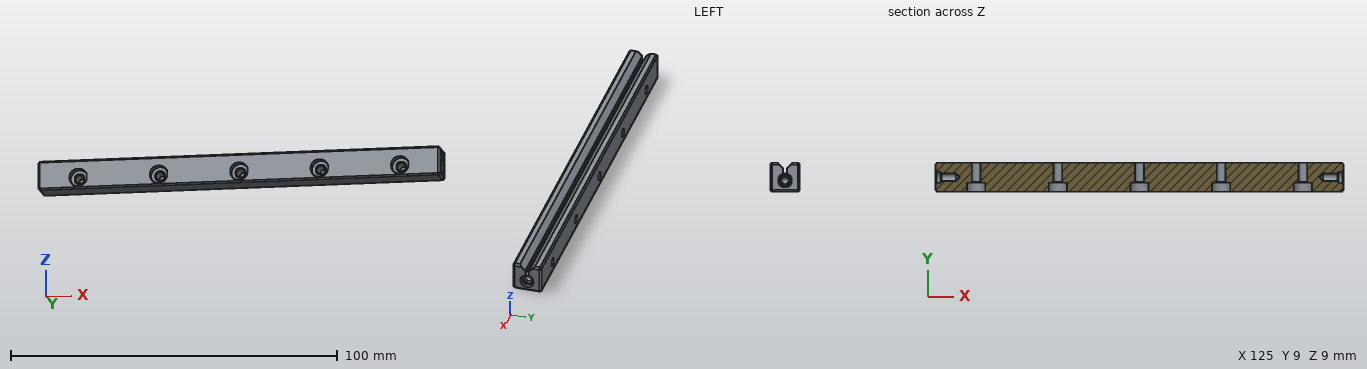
import cadquery as cq

LENGTH = 125.0
SIDE = 9.0
LONG_CHAMFER = 0.5
END_CHAMFER = 0.6

GROOVE_WIDTH = 4.8
SLOT_WIDTH = 1.1
SLOT_DEPTH = 3.2

HOLE_COUNT = 5
HOLE_PITCH = 25.0
HOLE_HEIGHT = 3.5
HOLE_DIAMETER = 2.6
MOUTH_DIAMETER = 3.2
HEAD_DIAMETER = 5.5
HEAD_DEPTH = 2.8

END_HOLE_DIAMETER = 2.2
END_SINK_DIAMETER = 4.2
END_BORE_DIAMETER = 3.2
END_BORE_DEPTH = 1.5
END_HOLE_DEPTH = 6.2


def make_body():
    """Square bar with its long edges and its end rims chamfered."""
    bar = cq.Workplane("XY").box(LENGTH, SIDE, SIDE, centered=(False, True, False))
    bar = bar.edges("|X").chamfer(LONG_CHAMFER)
    return bar.faces("<X or >X").chamfer(END_CHAMFER)


def make_groove():
    """45 degree V groove that narrows to a parallel relief slot."""
    half_groove = GROOVE_WIDTH / 2
    half_slot = SLOT_WIDTH / 2
    slot_top = SIDE - (half_groove - half_slot)
    slot_floor = SIDE - SLOT_DEPTH
    outline = [
        (-half_groove, SIDE),
        (-half_slot, slot_top),
        (-half_slot, slot_floor),
        (half_slot, slot_floor),
        (half_slot, slot_top),
        (half_groove, SIDE),
    ]
    return cq.Workplane("YZ").polyline(outline).close().extrude(LENGTH)


def make_mounting_hole(x):
    """Through hole with a screw head counterbore on the -Y side and a small lead-in cone."""
    face = cq.Workplane("XZ", origin=(x, -SIDE / 2, HOLE_HEIGHT))
    radius = HOLE_DIAMETER / 2
    bore = face.circle(radius).extrude(-SIDE)
    head = face.circle(HEAD_DIAMETER / 2).extrude(-HEAD_DEPTH)
    lead_depth = MOUTH_DIAMETER / 2 - radius
    mouth = face.workplane(offset=-HEAD_DEPTH).circle(MOUTH_DIAMETER / 2)
    mouth = mouth.workplane(offset=-lead_depth).circle(radius).loft(ruled=True)
    return bore.union(head).union(mouth)


def make_end_hole(x, inward):
    """Blind stepped hole with a 90 degree countersink; inward is +1 or -1 along X."""
    radius = END_HOLE_DIAMETER / 2
    bore_radius = END_BORE_DIAMETER / 2
    sink_radius = END_SINK_DIAMETER / 2
    profile = [
        (0, 0),
        (0, sink_radius),
        (inward * (sink_radius - bore_radius), bore_radius),
        (inward * END_BORE_DEPTH, bore_radius),
        (inward * (END_BORE_DEPTH + bore_radius - radius), radius),
        (inward * END_HOLE_DEPTH, radius),
        (inward * (END_HOLE_DEPTH + radius), 0),
    ]
    axis_plane = cq.Workplane("XZ", origin=(x, 0, HOLE_HEIGHT))
    return axis_plane.polyline(profile).close().revolve(360, (0, 0), (1, 0))


result = make_body().cut(make_groove())

first_hole = (LENGTH - (HOLE_COUNT - 1) * HOLE_PITCH) / 2
for index in range(HOLE_COUNT):
    result = result.cut(make_mounting_hole(first_hole + index * HOLE_PITCH))

result = result.cut(make_end_hole(0, 1)).cut(make_end_hole(LENGTH, -1))